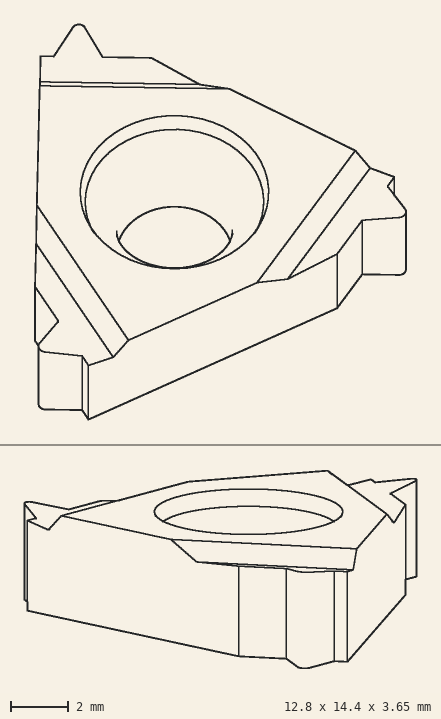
import cadquery as cq
import math

thickness = 3.65
side_distance = 4.76
edge_distance = 6.03
long_side_angle = math.radians(30)
corner_count = 3

tooth_offset = 3.45
tooth_tip_distance = 7.25
tooth_half_angle = math.radians(30)
tip_radius = 0.25

groove_start = 4.45
groove_depth = 0.6
rake_angle = math.radians(10)
clearance = 1.44

hole_radius = 2.0
mouth_radius = 3.27
seat_radius = 3.1
mouth_depth = 0.58
seat_arc_radius = 2.01


def corner_section():
    """Wedge of the body between the hole axis and one corner, including its tooth."""
    left_x = (edge_distance * math.cos(long_side_angle) - side_distance) / math.sin(long_side_angle)
    foot_x = -side_distance * math.sin(long_side_angle)
    foot_y = -side_distance * math.cos(long_side_angle)

    tip_center_y = -tooth_tip_distance + tip_radius
    sharp_tip_y = tip_center_y - tip_radius / math.sin(tooth_half_angle)
    half_base = (-edge_distance - sharp_tip_y) * math.tan(tooth_half_angle)
    tangent_dx = tip_radius * math.cos(tooth_half_angle)
    tangent_y = tip_center_y - tip_radius * math.sin(tooth_half_angle)

    return (
        cq.Workplane("XY")
        .moveTo(0, 0)
        .lineTo(foot_x, foot_y)
        .lineTo(left_x, -edge_distance)
        .lineTo(tooth_offset - half_base, -edge_distance)
        .lineTo(tooth_offset - tangent_dx, tangent_y)
        .threePointArc((tooth_offset, -tooth_tip_distance), (tooth_offset + tangent_dx, tangent_y))
        .lineTo(tooth_offset + half_base, -edge_distance)
        .lineTo(side_distance, -edge_distance)
        .lineTo(side_distance, 0)
        .close()
        .extrude(thickness)
    )


def chip_groove():
    """Cutter for the groove and rake face across one corner."""
    root_y = -(groove_start + groove_depth)
    root_z = thickness - groove_depth
    outer_y = -(tooth_tip_distance + clearance)
    outer_z = root_z + (root_y - outer_y) * math.tan(rake_angle)
    length = 2 * (side_distance + clearance)
    return (
        cq.Workplane("YZ")
        .moveTo(-groove_start + clearance, thickness + clearance)
        .lineTo(-groove_start, thickness)
        .lineTo(root_y, root_z)
        .lineTo(outer_y, outer_z)
        .lineTo(outer_y, thickness + clearance)
        .close()
        .extrude(length / 2, both=True)
    )


def screw_hole():
    """Cutter for the bore, its convex flared seat and the steep conical mouth."""
    seat_z = thickness - mouth_depth
    arc_center_r = hole_radius + seat_arc_radius
    sweep = math.acos((arc_center_r - seat_radius) / seat_arc_radius)
    arc_start_z = seat_z - seat_arc_radius * math.sin(sweep)
    mid_r = arc_center_r - seat_arc_radius * math.cos(sweep / 2)
    mid_z = arc_start_z + seat_arc_radius * math.sin(sweep / 2)
    return (
        cq.Workplane("XZ")
        .moveTo(0, 0)
        .lineTo(hole_radius, 0)
        .lineTo(hole_radius, arc_start_z)
        .threePointArc((mid_r, mid_z), (seat_radius, seat_z))
        .lineTo(mouth_radius, thickness)
        .lineTo(0, thickness)
        .close()
        .revolve(360, (0, 0, 0), (0, 1, 0))
    )


corner = corner_section().cut(chip_groove())
body = corner
for index in range(1, corner_count):
    turn = index * 360 / corner_count
    body = body.union(corner.rotate((0, 0, 0), (0, 0, 1), turn))

result = body.clean().cut(screw_hole())